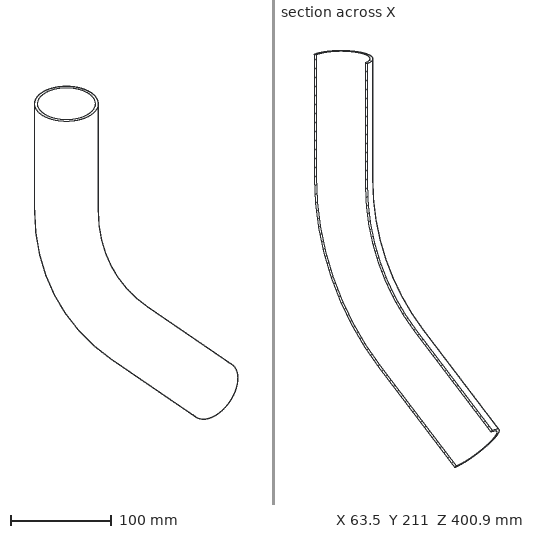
import cadquery as cq
import math

outer_diameter = 63.5
inner_diameter = 57.4
leg_length = 127.0
bend_radius = 228.6
bend_angle = 45.0


def bend_point(angle):
    """Centreline point (Y, Z) reached after turning through an angle in degrees."""
    turn = math.radians(angle)
    y = bend_radius * (1 - math.cos(turn))
    z = -leg_length - bend_radius * math.sin(turn)
    return y, z


def centreline():
    """Path from the top end to the lower end, tangent at both ends of the bend."""
    end_turn = math.radians(bend_angle)
    bend_end_y, bend_end_z = bend_point(bend_angle)
    lower_end = (
        bend_end_y + leg_length * math.sin(end_turn),
        bend_end_z - leg_length * math.cos(end_turn),
    )
    return (
        cq.Workplane("YZ")
        .moveTo(0, 0)
        .lineTo(*bend_point(0))
        .threePointArc(bend_point(bend_angle / 2), (bend_end_y, bend_end_z))
        .lineTo(*lower_end)
    )


def tube():
    """Annular section swept along the centreline, open at both ends."""
    section = cq.Workplane("XY").circle(outer_diameter / 2).circle(inner_diameter / 2)
    return section.sweep(centreline())


result = tube()